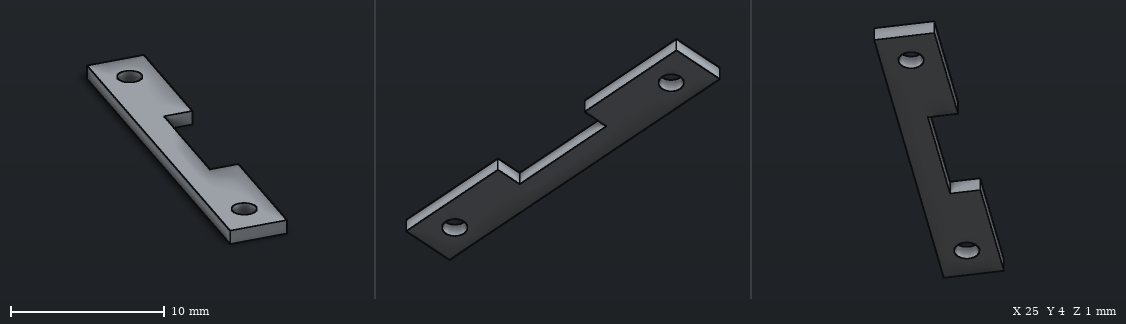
import cadquery as cq

length = 25.0
width = 4.0
thickness = 1.0

notch_length = 8.0
notch_depth = width / 2

hole_diameter = 1.65
hole_spacing = 20.0


def make_plate():
    """Flat bar centred on the X and Y axes, resting on Z = 0."""
    return cq.Workplane("XY").box(length, width, thickness, centered=(True, True, False))


def cut_notch(body):
    """Remove the notch, open to the +Y edge, through the full thickness."""
    notch = (
        cq.Workplane("XY")
        .box(notch_length, notch_depth, thickness, centered=(True, False, False))
        .translate((0, width / 2 - notch_depth, 0))
    )
    return body.cut(notch)


def drill_holes(body):
    """Drill one through hole near each end."""
    hole_centres = [(side * hole_spacing / 2, 0) for side in (-1, 1)]
    holes = (
        cq.Workplane("XY")
        .pushPoints(hole_centres)
        .circle(hole_diameter / 2)
        .extrude(thickness)
    )
    return body.cut(holes)


result = drill_holes(cut_notch(make_plate()))